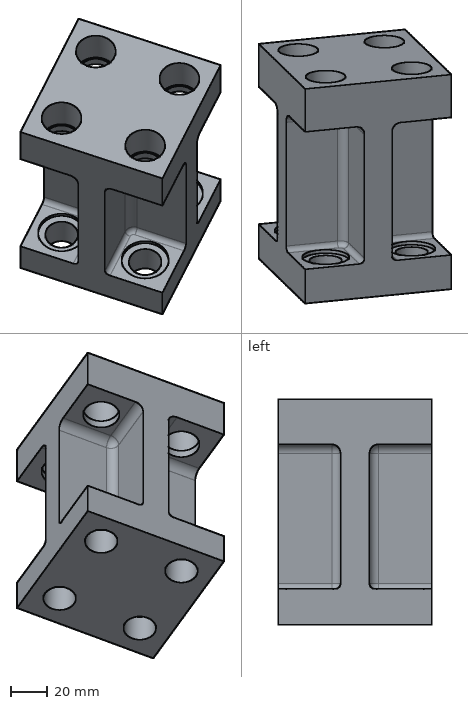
import cadquery as cq

width = 85.0
height = 125.0

base_thickness = 20.0
top_thickness = 25.0
web_thickness = 16.0
pocket_fillet = 5.0
base_fillet = 3.0

hole_spacing = 50.0
top_hole_diameter = 22.0
top_hole_lower_diameter = 20.0
top_hole_lower_depth = 5.0
base_hole_diameter = 18.0
spotface_diameter = 26.0
spotface_depth = 2.0

pocket_top = height - top_thickness
pocket_height = pocket_top - base_thickness
pocket_overrun = 12.5
pocket_inner = web_thickness / 2
pocket_side = width / 2 + pocket_overrun - pocket_inner


def corner_pocket():
    """Cutter for the +X +Y corner, rounded where it meets the webs and flanges."""
    pocket = cq.Workplane("XY").box(pocket_side, pocket_side, pocket_height, centered=False)
    upper_edges = "(|Z and <X and <Y) or (>Z and (<X or <Y))"
    pocket = pocket.edges(upper_edges).fillet(pocket_fillet)
    pocket = pocket.faces("<Z").edges("not(>X or >Y)").fillet(base_fillet)
    return pocket.translate((pocket_inner, pocket_inner, base_thickness))


def cylinder(diameter, bottom, top):
    """Vertical cutter at the +X +Y hole centre, between two heights."""
    center = hole_spacing / 2
    start = cq.Workplane("XY", origin=(center, center, bottom))
    return start.circle(diameter / 2).extrude(top - bottom)


def corner_cutters():
    """Everything removed at one corner: pocket, base hole, spotface and stepped top hole."""
    spotface_floor = base_thickness - spotface_depth
    step_height = pocket_top + top_hole_lower_depth
    return [
        corner_pocket(),
        cylinder(base_hole_diameter, 0, base_thickness),
        cylinder(spotface_diameter, spotface_floor, base_thickness),
        cylinder(top_hole_lower_diameter, pocket_top, height),
        cylinder(top_hole_diameter, step_height, height),
    ]


result = cq.Workplane("XY").box(width, width, height, centered=(True, True, False))
for cutter in corner_cutters():
    for quarter in range(4):
        result = result.cut(cutter.rotate((0, 0, 0), (0, 0, 1), 90 * quarter))